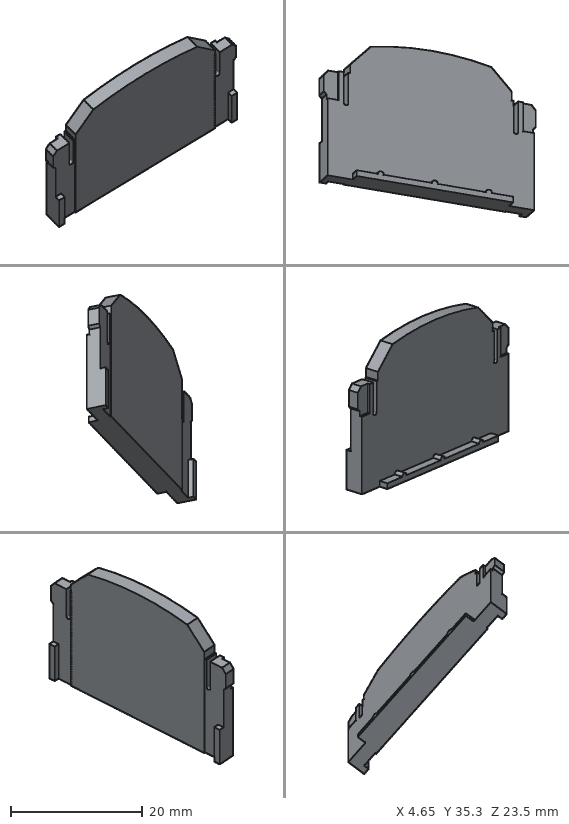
import cadquery as cq

front_x = 1.52
plate_thickness = 2.45
arm_thickness = 2.25
recess_depth = 0.42
foot_back_x = 4.65

plate_half_width = 13.45
shoulder_z = 19.0
crown_half_width = 10.03
crown_edge_z = 22.5
crown_z = 23.5

arm_outer_y = 17.2
arm_top_z = 17.55
hook_outer_y = 17.65
hook_lead_y = 0.75
hook_lead_z = 0.85
hook_bottom_z = 13.98
hook_undercut = hook_outer_y - arm_outer_y
recess_inner_y = 15.35
recess_bottom_z = 12.75

slot_inner_y = 13.75
slot_width = 0.75
slot_bottom_z = 12.1

foot_width = 1.1
foot_height = 6.5

rail_half_width = 13.03
rail_height = 0.95
bump_radius = 0.5
bump_pitch = 9.0


def block(x_min, x_max, y_min, y_max, z_min, z_max):
    """Axis-aligned box given by its limits."""
    size = (x_max - x_min, y_max - y_min, z_max - z_min)
    return cq.Workplane("XY").box(*size, centered=False).translate((x_min, y_min, z_min))


def profile_plane(x):
    """Sketch plane with local axes along Y and Z, at the given X."""
    return cq.Workplane("YZ", origin=(x, 0, 0))


def make_plate():
    """Plate with sloped shoulders and an arched crown."""
    return (
        profile_plane(front_x)
        .moveTo(-plate_half_width, 0)
        .lineTo(plate_half_width, 0)
        .lineTo(plate_half_width, shoulder_z)
        .lineTo(crown_half_width, crown_edge_z)
        .threePointArc((0, crown_z), (-crown_half_width, crown_edge_z))
        .lineTo(-plate_half_width, shoulder_z)
        .close()
        .extrude(plate_thickness)
    )


def make_slot():
    """Open-topped slot with a round bottom, through the arm thickness."""
    radius = slot_width / 2
    outer_y = slot_inner_y + slot_width
    return (
        profile_plane(front_x)
        .moveTo(slot_inner_y, arm_top_z)
        .lineTo(slot_inner_y, slot_bottom_z + radius)
        .threePointArc((slot_inner_y + radius, slot_bottom_z), (outer_y, slot_bottom_z + radius))
        .lineTo(outer_y, arm_top_z)
        .close()
        .extrude(arm_thickness)
    )


def make_arm():
    """Arm on the +Y side, with its hook, slot, front recess and rear foot."""
    arm = (
        profile_plane(front_x)
        .moveTo(plate_half_width, 0)
        .lineTo(arm_outer_y, 0)
        .lineTo(arm_outer_y, hook_bottom_z - hook_undercut)
        .lineTo(hook_outer_y, hook_bottom_z)
        .lineTo(hook_outer_y, arm_top_z - hook_lead_z)
        .lineTo(hook_outer_y - hook_lead_y, arm_top_z)
        .lineTo(plate_half_width, arm_top_z)
        .close()
        .extrude(arm_thickness)
    )
    recess = block(
        front_x, front_x + recess_depth,
        recess_inner_y, hook_outer_y,
        recess_bottom_z, arm_top_z,
    )
    foot = block(
        front_x, foot_back_x,
        arm_outer_y - foot_width, arm_outer_y,
        0, foot_height,
    )
    return arm.cut(make_slot()).cut(recess).union(foot)


def make_rail():
    """Bottom rail projecting from the front face, with bumps along its top."""
    rail = block(0, front_x, -rail_half_width, rail_half_width, 0, rail_height)
    bumps = (
        profile_plane(0)
        .pushPoints([(i * bump_pitch, rail_height) for i in (-1, 0, 1)])
        .circle(bump_radius)
        .extrude(front_x)
    )
    return rail.union(bumps)


arm = make_arm()
result = make_plate().union(arm).union(arm.mirror("XZ")).union(make_rail())